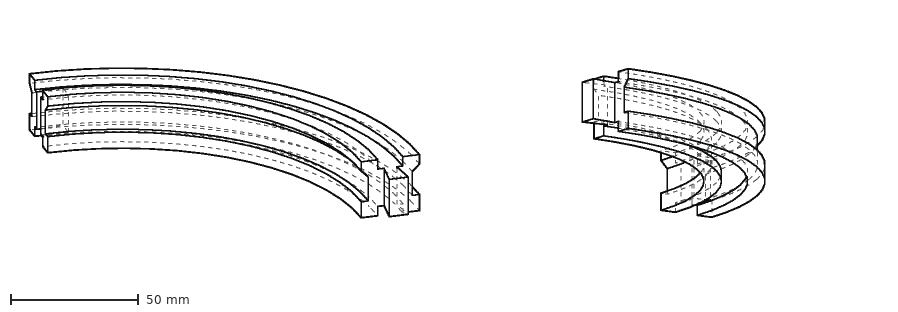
import cadquery as cq

total_length = 133.0
outer_radius = 122.0
track_width = 24.0
track_height = 24.0

groove_width = 10.2
groove_depth = 4.0

recess_depth = 2.9
upper_lip = 4.0
lower_lip = 6.9

neck_width = 5.2
tip_width = 7.8

joint_length = total_length - outer_radius
mid_radius = outer_radius - track_width / 2
web_height = track_height - 2 * groove_depth


def half_profile(side):
    """Section points from the bottom groove to the top groove; side is -1 or +1."""
    edge = track_width / 2
    waist = edge - recess_depth
    groove = groove_width / 2
    lip_bottom = track_height - upper_lip
    points = [
        (groove, groove_depth),
        (groove, 0),
        (edge, 0),
        (edge, lower_lip),
        (waist, lower_lip),
        (waist, lip_bottom - recess_depth),
        (edge, lip_bottom),
        (edge, track_height),
        (groove, track_height),
        (groove, track_height - groove_depth),
    ]
    return [(track_width / 2 + side * offset, z) for offset, z in points]


def make_rail():
    """Sweep the section a quarter turn about the bend axis at X = outer_radius, Y = 0."""
    outline = half_profile(1) + half_profile(-1)[::-1]
    return (
        cq.Workplane("XZ")
        .polyline(outline)
        .close()
        .revolve(90, (outer_radius, 0), (outer_radius, -1))
    )


def make_dovetail():
    """Dovetail widening along +Y, with its neck centred on the origin."""
    return (
        cq.Workplane("XY")
        .polyline([
            (-neck_width / 2, 0),
            (neck_width / 2, 0),
            (tip_width / 2, joint_length),
            (-tip_width / 2, joint_length),
        ])
        .close()
        .extrude(web_height)
        .translate((0, 0, groove_depth))
    )


socket = make_dovetail().translate((track_width / 2, 0, 0))
tongue = (
    make_dovetail()
    .rotate((0, 0, 0), (0, 0, 1), -90)
    .translate((outer_radius, mid_radius, 0))
)

result = make_rail().cut(socket).union(tongue)